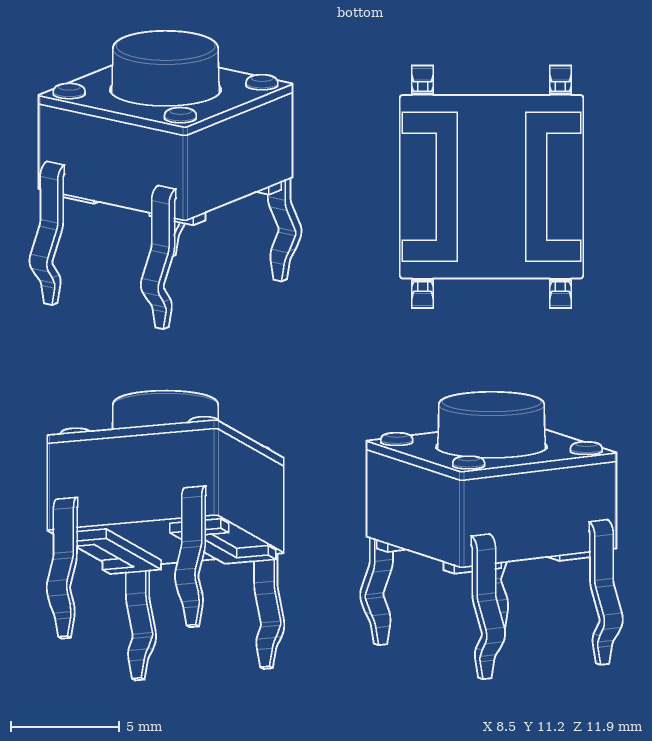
import cadquery as cq
import math

overall_height = 11.91
overall_depth = 11.23

body_side = 8.5
body_corner_radius = 0.15
housing_bottom_z = 5.26
cover_top_z = 9.78
cover_thickness = 0.4
cover_bottom_z = cover_top_z - cover_thickness

corner_offset = 3.19

rivet_diameter = 1.48
rivet_head_height = 0.35
rivet_head_radius = 0.24

foot_depth = 0.45
foot_inner_x = 1.58
foot_outer_x = 4.12
foot_half_length = 3.45
foot_arm_width = 0.98

cover_hole_diameter = 5.15
button_base_diameter = 5.0
button_top_diameter = 4.88
button_edge_radius = 0.15

lead_width = 1.0
lead_thickness = 0.44
lead_top_z = 6.69
lead_shoulder_radius = 0.6
shank_outer_y = 4.76
shank_bend_z = 3.85
shank_bend_radius = 0.62
knee_radius = 0.62
tip_bend_radius = 0.44
tip_outer_y = 4.85
taper_top_z = 1.48
tip_width = 0.46
upper_slope_angle = math.radians(30)
lower_slope_angle = math.radians(38)


def rounded_square(bottom_z, top_z):
    plane = cq.Workplane("XY").workplane(offset=bottom_z)
    block = plane.rect(body_side, body_side).extrude(top_z - bottom_z)
    return block.edges("|Z").fillet(body_corner_radius)


def corner_cylinders(bottom_z, top_z):
    spacing = 2 * corner_offset
    plane = cq.Workplane("XY").workplane(offset=bottom_z)
    return plane.rarray(spacing, spacing, 2, 2).circle(rivet_diameter / 2).extrude(top_z - bottom_z)


def make_foot(side):
    """C-shaped pad on the +X (side = 1) or -X (side = -1) half of the underside."""
    spine_x = foot_inner_x + foot_arm_width
    arm_y = foot_half_length - foot_arm_width
    outline = [
        (foot_inner_x, -foot_half_length),
        (foot_outer_x, -foot_half_length),
        (foot_outer_x, -arm_y),
        (spine_x, -arm_y),
        (spine_x, arm_y),
        (foot_outer_x, arm_y),
        (foot_outer_x, foot_half_length),
        (foot_inner_x, foot_half_length),
    ]
    points = [(side * x, y) for x, y in outline]
    return cq.Workplane("XY").workplane(offset=housing_bottom_z).polyline(points).close().extrude(-foot_depth)


def rounded_outline(plane, corners):
    """Closed outline through (u, v, radius) corners, with a tangent arc wherever radius > 0."""
    outline = None
    for i, (u, v, radius) in enumerate(corners):
        corner = cq.Vector(u, v)
        to_previous = (cq.Vector(*corners[i - 1][:2]) - corner).normalized()
        to_next = (cq.Vector(*corners[(i + 1) % len(corners)][:2]) - corner).normalized()
        half_angle = to_previous.getAngle(to_next) / 2
        tangent_length = radius / math.tan(half_angle)
        start = corner + to_previous * tangent_length
        outline = plane.moveTo(start.x, start.y) if outline is None else outline.lineTo(start.x, start.y)
        if radius > 0:
            bisector = (to_previous + to_next).normalized()
            middle = corner + bisector * (radius / math.sin(half_angle) - radius)
            end = corner + to_next * tangent_length
            outline = outline.threePointArc((middle.x, middle.y), (end.x, end.y))
    return outline.close()


def lead_profile_corners():
    """Corners (y, z, bend radius) of the half of a lead that leaves the housing towards +Y."""
    upper_slope = math.tan(upper_slope_angle)
    lower_slope = math.tan(lower_slope_angle)
    half_turn = (upper_slope_angle + lower_slope_angle) / 2
    half_difference = (lower_slope_angle - upper_slope_angle) / 2
    knee_vertex_y = overall_depth / 2 + knee_radius * (math.cos(half_difference) / math.cos(half_turn) - 1)
    knee_z = shank_bend_z - (knee_vertex_y - shank_outer_y) / upper_slope
    tip_bend_z = knee_z - (knee_vertex_y - tip_outer_y) / lower_slope

    shank_inner_y = shank_outer_y - lead_thickness
    tip_inner_y = tip_outer_y - lead_thickness
    inner_shank_bend_z = shank_bend_z - lead_thickness * math.tan(upper_slope_angle / 2)
    inner_tip_bend_z = tip_bend_z + lead_thickness * math.tan(lower_slope_angle / 2)
    rise = inner_shank_bend_z - inner_tip_bend_z
    inner_knee_drop = (rise * lower_slope + tip_inner_y - shank_inner_y) / (upper_slope + lower_slope)
    inner_knee_y = shank_inner_y + inner_knee_drop * upper_slope
    inner_knee_z = inner_shank_bend_z - inner_knee_drop

    return [
        (0, lead_top_z, 0),
        (shank_outer_y, lead_top_z, lead_shoulder_radius),
        (shank_outer_y, shank_bend_z, shank_bend_radius),
        (knee_vertex_y, knee_z, knee_radius),
        (tip_outer_y, tip_bend_z, tip_bend_radius),
        (tip_outer_y, 0, 0),
        (tip_inner_y, 0, 0),
        (tip_inner_y, inner_tip_bend_z, tip_bend_radius + lead_thickness),
        (inner_knee_y, inner_knee_z, knee_radius - lead_thickness),
        (shank_inner_y, inner_shank_bend_z, shank_bend_radius + lead_thickness),
        (shank_inner_y, lead_top_z - lead_thickness, lead_shoulder_radius - lead_thickness),
        (0, lead_top_z - lead_thickness, 0),
    ]


def make_lead(center_x):
    plane = cq.Workplane("YZ").workplane(offset=-lead_width / 2)
    half = rounded_outline(plane, lead_profile_corners()).extrude(lead_width)
    front_outline = [
        (-tip_width / 2, 0),
        (tip_width / 2, 0),
        (lead_width / 2, taper_top_z),
        (lead_width / 2, lead_top_z),
        (-lead_width / 2, lead_top_z),
        (-lead_width / 2, taper_top_z),
    ]
    tapered = cq.Workplane("XZ").polyline(front_outline).close().extrude(-body_side)
    half = half.intersect(tapered)
    return half.union(half.mirror("XZ")).translate((center_x, 0, 0))


def make_housing(leads):
    rivets = corner_cylinders(cover_bottom_z, cover_top_z + rivet_head_height)
    rivets = rivets.faces(">Z").edges().fillet(rivet_head_radius)
    housing = rounded_square(housing_bottom_z, cover_bottom_z).union(rivets)
    for side in (-1, 1):
        housing = housing.union(make_foot(side))
    for lead in leads:
        housing = housing.cut(lead)
    return housing


def make_cover():
    cover = rounded_square(cover_bottom_z, cover_top_z)
    cover = cover.cut(corner_cylinders(cover_bottom_z, cover_top_z))
    return cover.faces(">Z").workplane(origin=(0, 0, cover_top_z)).hole(cover_hole_diameter)


def make_button():
    stem = (
        cq.Workplane("XY")
        .workplane(offset=cover_bottom_z)
        .circle(button_base_diameter / 2)
        .workplane(offset=overall_height - cover_bottom_z)
        .circle(button_top_diameter / 2)
        .loft()
    )
    return stem.faces(">Z").edges().fillet(button_edge_radius)


leads = [make_lead(center_x) for center_x in (-corner_offset, corner_offset)]
housing = make_housing(leads)
cover = make_cover()
button = make_button()

lead_solids = [lead.val() for lead in leads]
result = cq.Compound.makeCompound([housing.val(), cover.val(), button.val(), *lead_solids])